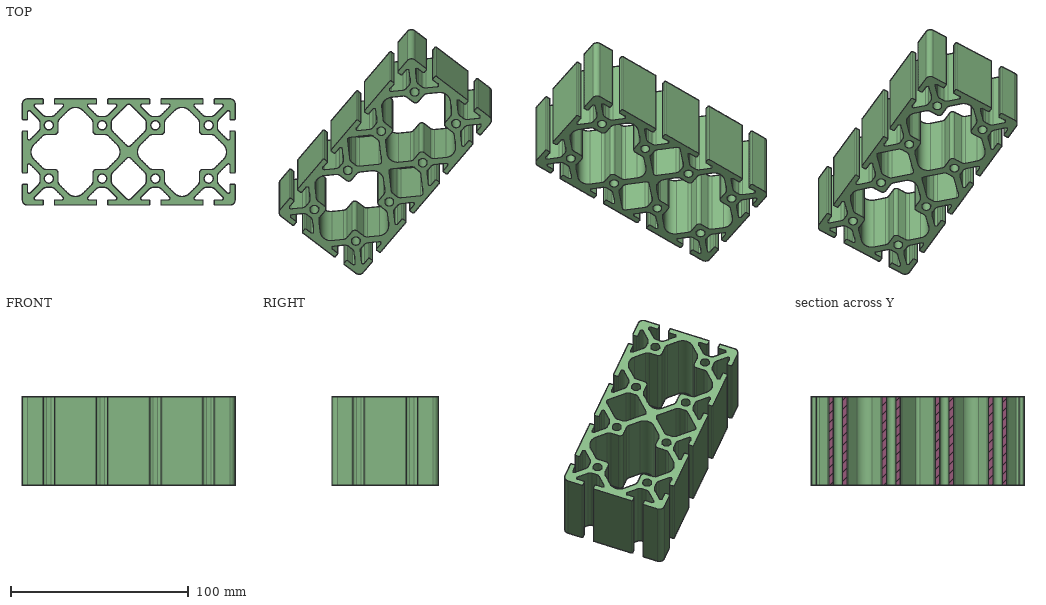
import cadquery as cq
import math

MODULE = 30.0
COLUMNS = 4
ROWS = 2
WIDTH = COLUMNS * MODULE
DEPTH = ROWS * MODULE
LENGTH = 50.0
CORNER_RADIUS = 3.0

SLOT_MOUTH = 6.2
LIP_THICKNESS = 3.0
LIP_RADIUS = 0.6
SLOT_DEPTH = 10.0
SLOT_APEX = 12.5
SLOT_CORNER_RADIUS = 0.9
SLOT_FLOOR_RADIUS = 3.0

HOLE_DIAMETER = 5.0
HUB_HALF_WIDTH = 5.2
HUB_FACE = MODULE / 2 - HUB_HALF_WIDTH
BEND_RADIUS = 3.0

CHAMBER_PITCH = 2 * MODULE
CHAMBER_APEX = 27.5
CHAMBER_TIP_RADIUS = 6.0
HUB_CORNER_RADIUS = 2.0

DIAMOND_APEX = 12.5
DIAMOND_TIP_RADIUS = 1.6


def module_centres(count, pitch):
    """Positions of `count` equal cells, centred on zero."""
    return [(index - (count - 1) / 2) * pitch for index in range(count)]


def rounded_prism(corners):
    """Full-length prism over a closed outline of (x, y, radius) corners; zero radius stays sharp."""
    runs = []
    for index, (x, y, radius) in enumerate(corners):
        corner = cq.Vector(x, y)
        if radius == 0:
            runs.append([corner])
            continue
        before = cq.Vector(*corners[index - 1][:2])
        after = cq.Vector(*corners[(index + 1) % len(corners)][:2])
        to_before = (before - corner).normalized()
        to_after = (after - corner).normalized()
        half_angle = to_before.getAngle(to_after) / 2
        setback = radius / math.tan(half_angle)
        bisector = (to_before + to_after).normalized()
        middle = corner + bisector * (radius / math.sin(half_angle) - radius)
        runs.append([corner + to_before * setback, middle, corner + to_after * setback])

    outline = cq.Workplane("XY").moveTo(*runs[0][-1].toTuple()[:2])
    for run in runs[1:] + runs[:1]:
        outline = outline.lineTo(*run[0].toTuple()[:2])
        if len(run) > 1:
            outline = outline.threePointArc(run[1].toTuple()[:2], run[2].toTuple()[:2])
    return outline.close().extrude(LENGTH)


def make_slot():
    """T-slot cutter with its mouth on the X axis and its depth along -Y."""
    mouth = SLOT_MOUTH / 2
    right_side = [
        (mouth + 2 * LIP_RADIUS, 0, 0),
        (mouth, 0, LIP_RADIUS),
        (mouth, -LIP_THICKNESS, LIP_RADIUS),
        (SLOT_APEX - LIP_THICKNESS, -LIP_THICKNESS, SLOT_CORNER_RADIUS),
        (SLOT_APEX - SLOT_DEPTH, -SLOT_DEPTH, SLOT_FLOOR_RADIUS),
    ]
    left_side = [(-x, y, radius) for x, y, radius in reversed(right_side)]
    return rounded_prism(right_side + left_side)


def make_star_chamber():
    """Four-pointed chamber around the origin, notched by the hubs at its four diagonals."""
    bend = CHAMBER_APEX - HUB_FACE
    quarter = [
        (CHAMBER_APEX, 0, CHAMBER_TIP_RADIUS),
        (bend, HUB_FACE, BEND_RADIUS),
        (HUB_FACE, HUB_FACE, HUB_CORNER_RADIUS),
        (HUB_FACE, bend, BEND_RADIUS),
    ]
    corners = []
    for cosine, sine in [(1, 0), (0, 1), (-1, 0), (0, -1)]:
        corners += [(x * cosine - y * sine, x * sine + y * cosine, radius) for x, y, radius in quarter]
    return rounded_prism(corners)


def make_diamond_chamber():
    """Six-sided chamber around the origin: a diamond cut flat by the hubs at left and right."""
    shoulder = DIAMOND_APEX - HUB_FACE
    return rounded_prism([
        (HUB_FACE, -shoulder, BEND_RADIUS),
        (HUB_FACE, shoulder, BEND_RADIUS),
        (0, DIAMOND_APEX, DIAMOND_TIP_RADIUS),
        (-HUB_FACE, shoulder, BEND_RADIUS),
        (-HUB_FACE, -shoulder, BEND_RADIUS),
        (0, -DIAMOND_APEX, DIAMOND_TIP_RADIUS),
    ])


def cut_slots(body):
    """Cut the T-slots into all four outer faces."""
    slot = make_slot()
    for faces_angle, count, reach in [(0, COLUMNS, DEPTH / 2), (90, ROWS, WIDTH / 2)]:
        for offset in module_centres(count, MODULE):
            placed = slot.translate((offset, reach, 0))
            for angle in (faces_angle, faces_angle + 180):
                body = body.cut(placed.rotate((0, 0, 0), (0, 0, 1), angle))
    return body


columns = module_centres(COLUMNS, MODULE)
rows = module_centres(ROWS, MODULE)

result = cq.Workplane("XY").rect(WIDTH, DEPTH).extrude(LENGTH).edges("|Z").fillet(CORNER_RADIUS)
result = cut_slots(result)

for chamber_x in module_centres(COLUMNS // 2, CHAMBER_PITCH):
    result = result.cut(make_star_chamber().translate((chamber_x, 0, 0)))

for diamond_y in rows:
    result = result.cut(make_diamond_chamber().translate((0, diamond_y, 0)))

hole_centres = [(x, y) for x in columns for y in rows]
holes = cq.Workplane("XY").pushPoints(hole_centres).circle(HOLE_DIAMETER / 2).extrude(LENGTH)
result = result.cut(holes)